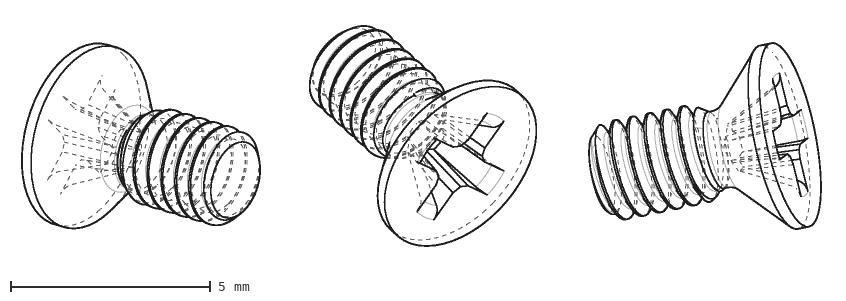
import cadquery as cq
import math

length = 5.0
head_radius = 4.7 / 2
head_edge_length = 0.3
head_cone_angle = math.radians(45)
thread_radius = 2.5 / 2
neck_radius = 0.98
neck_fillet_radius = 0.48
run_in_start = 1.97
run_in_end = 2.40

pitch = 0.45
crest_width = pitch / 8
flank_angle = math.radians(30)
root_fillet_radius = 0.144 * pitch
groove_start = 1.95
groove_clearance = 0.02

recess_radius = 1.574
lip_radius = 0.35
floor_angle = math.radians(26.5)
floor_radius = 0.623
tip_cone_depth = 0.3
corner_offset = 0.232
corner_reach = 0.753
valley_reach = 0.667
wall_draft = 0.175

lip_end_radius = recess_radius - lip_radius * math.cos(floor_angle)
lip_depth = lip_radius * (1 - math.sin(floor_angle))
floor_depth = lip_depth + (lip_end_radius - floor_radius) / math.tan(floor_angle)
recess_depth = floor_depth + tip_cone_depth


def revolve_about_x(profile):
    return profile.close().revolve(360, (0, 0, 0), (1, 0, 0))


def make_blank():
    """Unthreaded screw: countersunk head, filleted neck, run-in cone, chamfered end."""
    cone_end = head_edge_length + (head_radius - neck_radius) / math.tan(head_cone_angle)
    tangent_length = neck_fillet_radius * math.tan(head_cone_angle / 2)
    fillet_start = (
        cone_end - tangent_length * math.cos(head_cone_angle),
        neck_radius + tangent_length * math.sin(head_cone_angle),
    )
    end_chamfer = thread_radius - neck_radius
    return revolve_about_x(
        cq.Workplane("XY")
        .lineTo(0, head_radius)
        .lineTo(head_edge_length, head_radius)
        .lineTo(*fillet_start)
        .tangentArcPoint((cone_end + tangent_length, neck_radius), relative=False)
        .lineTo(run_in_start, neck_radius)
        .lineTo(run_in_end, thread_radius)
        .lineTo(length - end_chamfer, thread_radius)
        .lineTo(length, neck_radius)
        .lineTo(length, 0)
    )


def make_thread_groove():
    """Helical V groove with a rounded root, running out past the screw end."""
    flank_slope = math.tan(flank_angle)
    half_gap = (pitch - crest_width) / 2
    vertex_radius = thread_radius - half_gap / flank_slope
    root_radius = vertex_radius + root_fillet_radius
    root_centre = vertex_radius + root_fillet_radius / math.sin(flank_angle)
    tangent_radius = root_centre - root_fillet_radius * math.sin(flank_angle)
    tangent_half = root_fillet_radius * math.cos(flank_angle)
    outer_radius = thread_radius + groove_clearance
    outer_half = half_gap + groove_clearance * flank_slope

    turns = math.ceil((length - groove_start) / pitch) + 1
    helix = cq.Wire.makeHelix(pitch, turns * pitch, thread_radius)
    return (
        cq.Workplane("XZ")
        .moveTo(outer_radius, -outer_half)
        .lineTo(tangent_radius, -tangent_half)
        .threePointArc((root_radius, 0), (tangent_radius, tangent_half))
        .lineTo(outer_radius, outer_half)
        .close()
        .sweep(cq.Workplane(obj=helix), isFrenet=True)
        .rotate((0, 0, 0), (0, 0, 1), 180)
        .rotate((0, 0, 0), (0, 1, 0), 90)
        .translate((groove_start, 0, 0))
    )


def cross_outline(shift):
    """Points (Y, Z) of a cross with four diagonal wings, walls moved inward by shift."""
    corner = corner_reach - shift
    valley = valley_reach - shift
    wing_near = 2 * recess_radius
    wing_far = wing_near + corner - corner_offset
    quarter = [
        (0, valley),
        (corner_offset, corner),
        (wing_near, wing_far),
        (wing_far, wing_near),
        (corner, corner_offset),
    ]
    points = []
    for _ in range(4):
        points += quarter
        quarter = [(z, -y) for y, z in quarter]
    return points


def make_recess():
    """Round pocket with a lip, conical floor and tip, kept within the drafted cross."""
    lip_middle_angle = (math.pi / 2 + floor_angle) / 2
    lip_middle = (
        lip_radius * (1 - math.sin(lip_middle_angle)),
        recess_radius - lip_radius * math.cos(lip_middle_angle),
    )
    pocket = revolve_about_x(
        cq.Workplane("XY")
        .lineTo(0, recess_radius)
        .threePointArc(lip_middle, (lip_depth, lip_end_radius))
        .lineTo(floor_depth, floor_radius)
        .lineTo(recess_depth, 0)
    )
    cross = (
        cq.Workplane("YZ")
        .polyline(cross_outline(0))
        .close()
        .workplane(offset=recess_depth)
        .polyline(cross_outline(wall_draft * recess_depth / floor_depth))
        .close()
        .loft(ruled=True)
    )
    return pocket.intersect(cross)


result = make_blank().cut(make_thread_groove()).cut(make_recess())